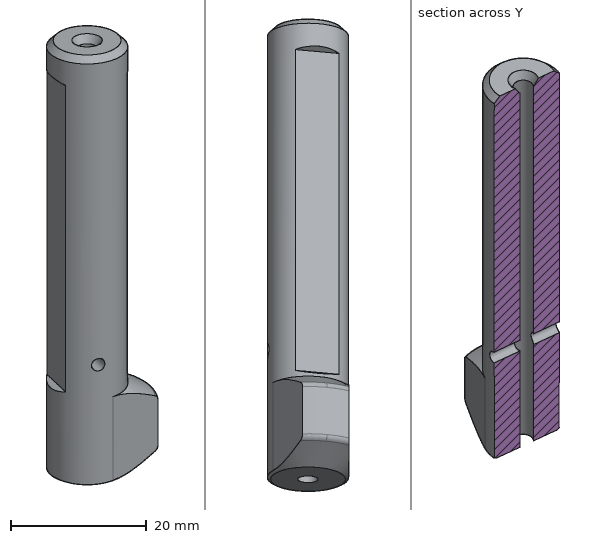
import cadquery as cq
import math

full_turn = 360
axis_start = (0, 0)
axis_end = (0, 1)

shaft_radius = 6.0
shaft_length = 70.0
top_chamfer = 1.0

bevel_slope = math.radians(30)
bottom_radius = 5.5

bore_diameter = 3.0
countersink_diameter = 4.5
countersink_half_angle = math.radians(30)

flat_offset = 5.0
flat_bottom = 15.0
flat_length = 50.0
flat_runout = 0.5

cross_hole_diameter = 2.0
cross_hole_y = -0.9
cross_hole_z = 19.75

lug_reach = 10.5
lug_shoulder_z = 14.0
lug_side_angle = math.radians(15)
lug_corner_radius = 1.0


def bevel_rise(radial_distance):
    """Height gained along the bevel slope over a radial distance."""
    return radial_distance * math.tan(bevel_slope)


def make_shaft():
    """Round bar with a beveled bottom and a chamfered top."""
    return (
        cq.Workplane("YZ")
        .lineTo(bottom_radius, 0)
        .lineTo(shaft_radius, bevel_rise(shaft_radius - bottom_radius))
        .lineTo(shaft_radius, shaft_length - top_chamfer)
        .lineTo(shaft_radius - top_chamfer, shaft_length)
        .lineTo(0, shaft_length)
        .close()
        .revolve(full_turn, axis_start, axis_end)
    )


def make_lug():
    """Double-beveled disc with rounded rims, trimmed to a wedge tangent to the shaft."""
    rim_bottom = bevel_rise(lug_reach - bottom_radius)
    rim_top = lug_shoulder_z - bevel_rise(lug_reach - shaft_radius)
    disc = (
        cq.Workplane("YZ")
        .lineTo(bottom_radius, 0)
        .lineTo(lug_reach, rim_bottom)
        .lineTo(lug_reach, rim_top)
        .lineTo(shaft_radius, lug_shoulder_z)
        .lineTo(0, lug_shoulder_z)
        .close()
        .revolve(full_turn, axis_start, axis_end)
    )
    rims = cq.selectors.RadiusNthSelector(-1)
    disc = disc.edges("%CIRCLE").edges(rims).fillet(lug_corner_radius)

    tangent_x = shaft_radius * math.cos(lug_side_angle)
    tangent_y = shaft_radius * math.sin(lug_side_angle)
    tip_x = tangent_x - (lug_reach - tangent_y) * math.tan(lug_side_angle)
    wedge = (
        cq.Workplane("XY")
        .lineTo(tangent_x, tangent_y)
        .lineTo(tip_x, lug_reach)
        .lineTo(-tip_x, lug_reach)
        .lineTo(-tangent_x, tangent_y)
        .close()
        .extrude(lug_shoulder_z)
    )
    return disc.intersect(wedge)


def make_flat_cutter(side):
    """Trapezoidal prism that cuts one flat; side is +1 for +Y or -1 for -Y."""
    flat_top = flat_bottom + flat_length
    return (
        cq.Workplane("YZ")
        .moveTo(side * flat_offset, flat_bottom)
        .lineTo(side * shaft_radius, flat_bottom - flat_runout)
        .lineTo(side * shaft_radius, flat_top + flat_runout)
        .lineTo(side * flat_offset, flat_top)
        .close()
        .extrude(shaft_radius, both=True)
    )


def make_bore():
    """Through bore along Z, opened by the countersink at the top."""
    bore_radius = bore_diameter / 2
    countersink_radius = countersink_diameter / 2
    countersink_depth = (countersink_radius - bore_radius) / math.tan(countersink_half_angle)
    return (
        cq.Workplane("YZ")
        .lineTo(bore_radius, 0)
        .lineTo(bore_radius, shaft_length - countersink_depth)
        .lineTo(countersink_radius, shaft_length)
        .lineTo(0, shaft_length)
        .close()
        .revolve(full_turn, axis_start, axis_end)
    )


def make_cross_hole():
    """Hole right through the shaft along X."""
    return (
        cq.Workplane("YZ")
        .center(cross_hole_y, cross_hole_z)
        .circle(cross_hole_diameter / 2)
        .extrude(shaft_radius, both=True)
    )


result = make_shaft().union(make_lug())
for flat_side in (1, -1):
    result = result.cut(make_flat_cutter(flat_side))
result = result.cut(make_bore()).cut(make_cross_hole())